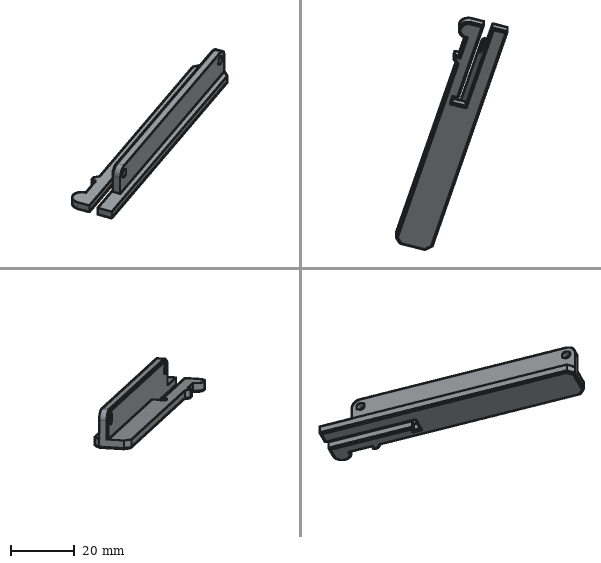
import cadquery as cq

length = 85.0
width = 15.0
height = 12.0

plate_thickness = 3.0
bulb_radius = 3.0
body_left = bulb_radius
corner_cut = 1.95
edge_chamfer = 0.5

slot_left = 7.1
slot_right = 10.0
slot_end = 30.2
notch_left = 5.6
notch_start = 28.1

tooth_tip = 1.5
tooth_start = 13.1
tooth_flat_end = 14.5
tooth_end = tooth_flat_end + (body_left - tooth_tip)

wall_left = slot_right
wall_thickness = 3.0
wall_start = 10.0
wall_corner_radius = 3.0

hole_diameter = 2.7
countersink_diameter = 3.7


def make_plate():
    """Plate with the spring arm, its tooth and the round bulb at the arm's end."""
    outline = (
        cq.Workplane("XY")
        .moveTo(body_left, 0)
        .lineTo(slot_left, 0)
        .lineTo(slot_left, notch_start)
        .lineTo(notch_left, notch_start)
        .lineTo(notch_left, slot_end)
        .lineTo(slot_right, slot_end)
        .lineTo(slot_right, 0)
        .lineTo(width, 0)
        .lineTo(width, length - corner_cut)
        .lineTo(width - corner_cut, length)
        .lineTo(body_left + corner_cut, length)
        .lineTo(body_left, length - corner_cut)
        .lineTo(body_left, tooth_end)
        .lineTo(tooth_tip, tooth_flat_end)
        .lineTo(tooth_tip, tooth_start)
        .lineTo(body_left, tooth_start)
        .lineTo(body_left, 2 * bulb_radius)
        .threePointArc((body_left - bulb_radius, bulb_radius), (body_left, 0))
        .close()
    )
    return outline.extrude(plate_thickness).faces("<Z").edges().chamfer(edge_chamfer)


def make_wall():
    """Upright wall with rounded top corners and a chamfered left face."""
    wall = (
        cq.Workplane("XY")
        .box(wall_thickness, length - wall_start, height - plate_thickness, centered=False)
        .translate((wall_left, wall_start, plate_thickness))
        .edges("|X and >Z")
        .fillet(wall_corner_radius)
    )
    bottom_edge = cq.selectors.DirectionMinMaxSelector(cq.Vector(0, 0, 1), False)
    left_edges = wall.faces("<X").edges(cq.selectors.InverseSelector(bottom_edge))
    return left_edges.chamfer(edge_chamfer)


def make_hole(y):
    """Cutter for one through hole, countersunk from the left face of the wall."""
    z = height - wall_corner_radius
    direction = cq.Vector(1, 0, 0)
    start = cq.Vector(wall_left, y, z)
    sink_depth = (countersink_diameter - hole_diameter) / 2
    bore = cq.Solid.makeCylinder(hole_diameter / 2, wall_thickness, start, direction)
    sink = cq.Solid.makeCone(countersink_diameter / 2, hole_diameter / 2, sink_depth, start, direction)
    return cq.Workplane(bore).union(cq.Workplane(sink))


result = make_plate().union(make_wall())
for hole_y in (wall_start + wall_corner_radius, length - wall_corner_radius):
    result = result.cut(make_hole(hole_y))